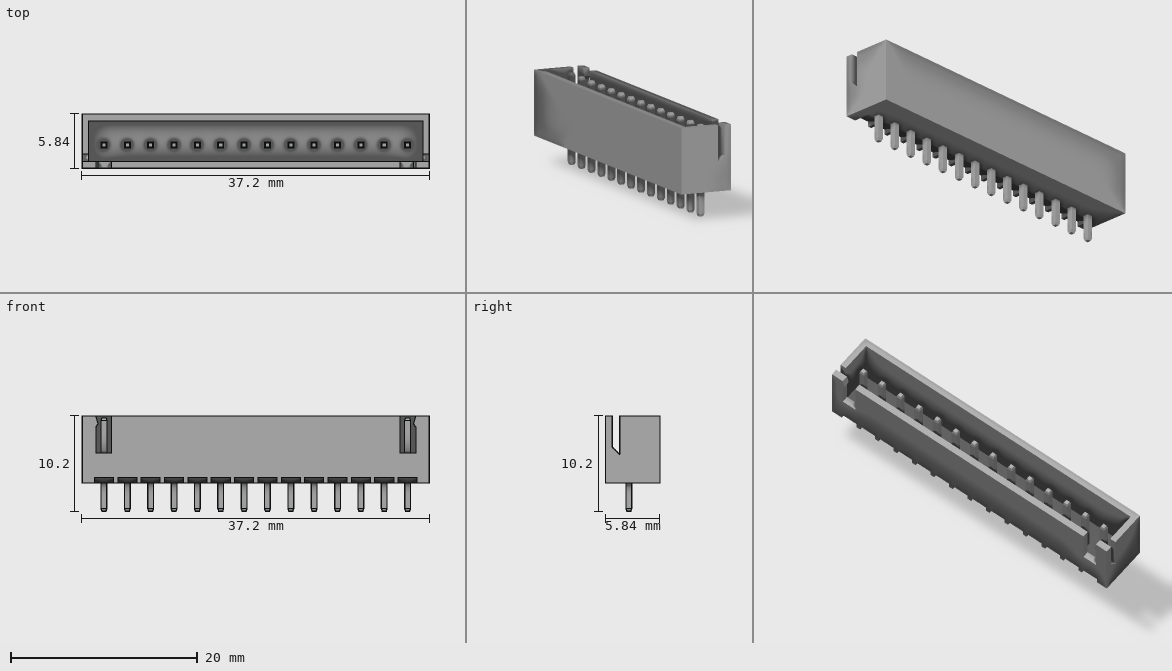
import cadquery as cq

body_length = 37.17
body_depth = 5.84
body_height = 7.2
wall_thickness = 0.75
end_wall_thickness = 0.7
cavity_depth = 6.0

pin_count = 14
pin_pitch = 2.5
pin_width = 0.64
pin_tip_width = 0.44
pin_taper_height = 0.3
pin_drop = 3.01
pin_top_gap = 0.2
pin_row_setback = 2.5

end_slot_width = 0.77
end_slot_depth = 3.35

window_offset = 1.46
window_width = 1.7
window_depth = 3.95
latch_protrusion = 0.24
latch_peak_depth = 0.85
latch_end_depth = 1.2

relief_width = 2.04
relief_height = 0.6
relief_depth = 2.0

front_y = -pin_row_setback
back_y = front_y + body_depth
wall_inner_y = front_y + wall_thickness
left_x = -body_length / 2
pin_xs = [(i - (pin_count - 1) / 2) * pin_pitch for i in range(pin_count)]


def box(x_min, x_max, y_min, y_max, z_min, z_max):
    size = (x_max - x_min, y_max - y_min, z_max - z_min)
    return cq.Workplane("XY").box(*size, centered=False).translate((x_min, y_min, z_min))


def make_housing():
    shell = box(left_x, -left_x, front_y, back_y, 0, body_height)
    inner_x = left_x + end_wall_thickness
    cavity = box(
        inner_x, -inner_x,
        wall_inner_y, back_y - wall_thickness,
        body_height - cavity_depth, body_height,
    )
    return shell.cut(cavity)


def make_end_slots():
    """Slot cutter through both end walls, with a 45 degree floor that drops toward the back."""
    slot_back_y = wall_inner_y + end_slot_width
    shallow_z = body_height - end_slot_depth
    deep_z = shallow_z - end_slot_width
    profile = [
        (wall_inner_y, body_height),
        (wall_inner_y, shallow_z),
        (slot_back_y, deep_z),
        (slot_back_y, body_height),
    ]
    left = cq.Workplane("YZ", origin=(left_x, 0, 0)).polyline(profile).close().extrude(end_wall_thickness)
    return left.union(left.mirror("YZ"))


def make_latch_windows():
    """Cutter for both front windows, leaving a pointed latch on each outer edge."""
    outer_x = left_x + window_offset
    inner_x = outer_x + window_width
    profile = [
        (outer_x, body_height),
        (outer_x + latch_protrusion, body_height - latch_peak_depth),
        (outer_x, body_height - latch_end_depth),
        (outer_x, body_height - window_depth),
        (inner_x, body_height - window_depth),
        (inner_x, body_height),
    ]
    left = cq.Workplane("XZ", origin=(0, wall_inner_y, 0)).polyline(profile).close().extrude(wall_thickness)
    return left.union(left.mirror("YZ"))


def make_relief(x):
    """Wedge cutter below one pin, deepest at the front face and fading out toward the pin row."""
    profile = [(front_y, 0), (front_y + relief_depth, 0), (front_y, relief_height)]
    start = (x - relief_width / 2, 0, 0)
    return cq.Workplane("YZ", origin=start).polyline(profile).close().extrude(relief_width)


def make_pin(x):
    """Square pin with a tapered tip at each end."""
    shaft_bottom = -pin_drop + pin_taper_height
    shaft_top = body_height - pin_top_gap - pin_taper_height
    half = pin_width / 2
    pin = box(-half, half, -half, half, shaft_bottom, shaft_top)
    tip = (
        cq.Workplane("XY").rect(pin_width, pin_width)
        .workplane(offset=pin_taper_height).rect(pin_tip_width, pin_tip_width).loft()
    )
    top_tip = tip.translate((0, 0, shaft_top))
    bottom_tip = tip.mirror("XY").translate((0, 0, shaft_bottom))
    return pin.union(top_tip).union(bottom_tip).translate((x, 0, 0))


result = make_housing().cut(make_end_slots()).cut(make_latch_windows())
for pin_x in pin_xs:
    result = result.cut(make_relief(pin_x)).union(make_pin(pin_x))